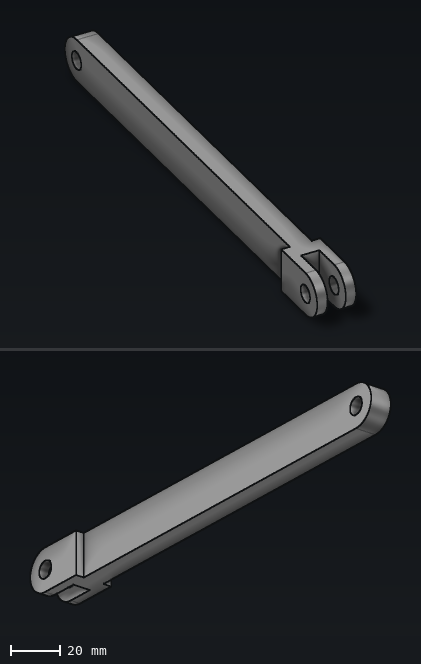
import cadquery as cq

length = 220.0
height = 20.0
end_radius = height / 2
hole_diameter = 8.0

bar_thickness = 10.1
fork_width = 18.0
fork_length = 30.4
slot_width = 8.4
slot_depth = 22.5

hole_spacing = length - 2 * end_radius
fork_start = length / 2 - fork_length
slot_floor = length / 2 - slot_depth


def centred_block(x_start, x_end, width):
    """Full-height block between two X positions, centred on Y and Z."""
    return cq.Workplane("XY").box(x_end - x_start, width, height).translate(((x_start + x_end) / 2, 0, 0))


rounded_link = (
    cq.Workplane("XZ")
    .slot2D(length, height)
    .extrude(fork_width / 2, both=True)
)

bar = centred_block(-length / 2, fork_start, bar_thickness)
fork = centred_block(fork_start, length / 2, fork_width)
link = rounded_link.intersect(bar.union(fork))

link = link.cut(centred_block(slot_floor, length / 2, slot_width))

pin_holes = (
    cq.Workplane("XZ")
    .pushPoints([(-hole_spacing / 2, 0), (hole_spacing / 2, 0)])
    .circle(hole_diameter / 2)
    .extrude(fork_width / 2, both=True)
)

result = link.cut(pin_holes)